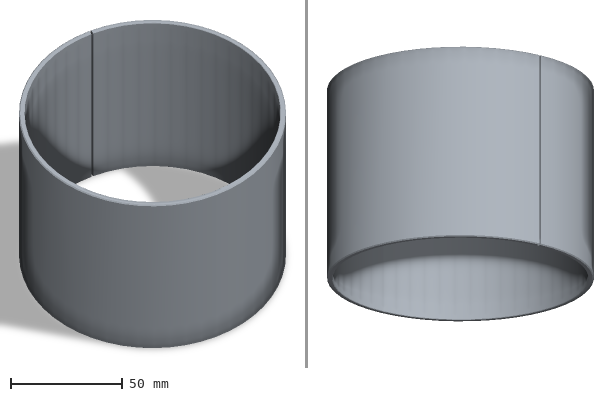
import cadquery as cq

outer_diameter = 120.0
wall = 2.5
height = 90.0
slit_width = 1.0
outer_chamfer = 0.5
inner_chamfer = 0.2

outer_radius = outer_diameter / 2
inner_radius = outer_radius - wall


def sleeve():
    """Tube centred on the Z axis, chamfered outside and more finely inside at both ends."""
    body = cq.Workplane("XY").circle(outer_radius).extrude(height)
    body = body.faces("<Z or >Z").edges().chamfer(outer_chamfer)
    bore = cq.Workplane("XY").circle(inner_radius).extrude(height)
    tube = body.cut(bore)
    bore_edges = tube.faces("<Z or >Z").edges(cq.selectors.RadiusNthSelector(0))
    return bore_edges.chamfer(inner_chamfer)


def slit():
    """Full-height cutter through the -X wall, with one side on the XZ plane."""
    cutter_depth = 2 * wall
    wall_middle = outer_radius - wall / 2
    slit_middle = slit_width / 2
    outline = cq.Workplane("XY").center(-wall_middle, slit_middle).rect(cutter_depth, slit_width)
    return outline.extrude(height)


result = sleeve().cut(slit())